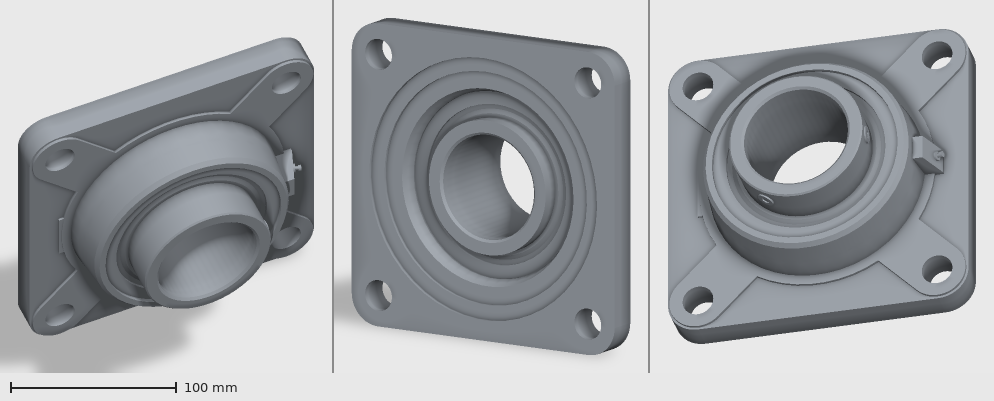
import cadquery as cq
import math

PLATE_SIDE = 187.0
PLATE_THICKNESS = 17.8
PLATE_CORNER_RADIUS = 18.7
BOLT_OFFSET = 74.5
BOLT_HOLE_RADIUS = 9.5

PAD_TOP_X = 19.6
PAD_LOBE_RADIUS = 17.8
PAD_DISC_RADIUS = 73.3

TAB_WIDTH = 31.8
TAB_TOP_X = 19.0
TAB_END_Y = -74.8

HUB_BASE_RADIUS = 67.3
HUB_SHOULDER_X = 47.3
HUB_SHOULDER_RADIUS = 64.0
HUB_END_X = 50.1
HUB_END_RADIUS = 61.7

OUTER_RECESS_RADIUS = 81.0
OUTER_RECESS_DEPTH = 2.8
INNER_RECESS_RADIUS = 72.0
INNER_RECESS_DEPTH = 5.2
SEAT_MOUTH_RADIUS = 61.0
SEAT_EDGE_RADIUS = 57.8
SEAT_LAND_LENGTH = 1.5
SEAT_SPHERE_RADIUS = 60.0
SEAT_CENTRE_X = 31.2
SEAT_EDGE_OFFSET = math.sqrt(SEAT_SPHERE_RADIUS**2 - SEAT_EDGE_RADIUS**2)

BOSS_WIDTH = 15.0
BOSS_BASE_Y = 78.2
BOSS_END_Y = 70.7
BOSS_END_X = 40.2
BOSS_ROOT_Y = 62.6
NIPPLE_X = 26.7
NIPPLE_BASE_RADIUS = 2.8
NIPPLE_BASE_HEIGHT = 1.3
NIPPLE_NECK_RADIUS = 1.1
NIPPLE_HEAD_RADIUS = 1.9
NIPPLE_HEAD_START = 3.2
NIPPLE_HEIGHT = 5.0

RING_START_X = 4.7
RING_END_X = 72.5
RING_RADIUS = 41.5
BORE_RADIUS = 32.4
BORE_CHAMFER = 1.5
RING_CHAMFER = 1.0
RACE_HALF_WIDTH = SEAT_EDGE_OFFSET
SEAL_RADIUS = 49.5
SEAL_HALF_WIDTH = 14.4
SEAL_LIP_BASE_RADIUS = 46.4
SEAL_LIP_TOP_RADIUS = 43.8
SEAL_LIP_HALF_WIDTH = 15.7

SCREW_X = 62.6
SCREW_RADIUS = 5.2
SCREW_TOP_RADIUS = 42.5
SCREW_LENGTH = 7.5
SCREW_ANGLES = (0, 240)
SOCKET_SIDES = 6
SOCKET_CORNER_DIAMETER = 5.2
SOCKET_DEPTH = 0.7


def revolve_about_x(profile):
    """Solid of revolution about the X axis from a closed (x, radius) profile."""
    return profile.close().revolve(360, (0, 0, 0), (1, 0, 0))


def disc(radius, start_x, end_x, y=0.0, z=0.0):
    """Cylinder along X between two X positions."""
    return cq.Workplane("YZ", origin=(start_x, y, z)).circle(radius).extrude(end_x - start_x)


def bolt_points():
    return [(y, z) for y in (-BOLT_OFFSET, BOLT_OFFSET) for z in (-BOLT_OFFSET, BOLT_OFFSET)]


def make_plate():
    plate = cq.Workplane("YZ").rect(PLATE_SIDE, PLATE_SIDE).extrude(PLATE_THICKNESS)
    return plate.edges("|X").fillet(PLATE_CORNER_RADIUS)


def make_pad():
    """Disc with two crossed diagonal straps that end in a round lobe at each bolt hole."""
    height = PAD_TOP_X - PLATE_THICKNESS
    pad = disc(PAD_DISC_RADIUS, PLATE_THICKNESS, PAD_TOP_X)
    strap_length = 2 * math.hypot(BOLT_OFFSET, BOLT_OFFSET) + 2 * PAD_LOBE_RADIUS
    for angle in (45, 135):
        strap = cq.Workplane("YZ", origin=(PLATE_THICKNESS, 0, 0))
        strap = strap.slot2D(strap_length, 2 * PAD_LOBE_RADIUS, angle).extrude(height)
        pad = pad.union(strap)
    return pad


def make_tab():
    length = -TAB_END_Y - HUB_BASE_RADIUS
    height = TAB_TOP_X - PLATE_THICKNESS
    tab = cq.Workplane("YZ", origin=(PLATE_THICKNESS, TAB_END_Y + length / 2, 0))
    return tab.rect(length, TAB_WIDTH).extrude(height)


def make_hub():
    profile = (
        cq.Workplane("XZ")
        .moveTo(PLATE_THICKNESS, 0)
        .lineTo(PLATE_THICKNESS, HUB_BASE_RADIUS)
        .lineTo(PAD_TOP_X, HUB_BASE_RADIUS)
        .lineTo(HUB_SHOULDER_X, HUB_SHOULDER_RADIUS)
        .lineTo(HUB_END_X, HUB_END_RADIUS)
        .lineTo(HUB_END_X, 0)
    )
    return revolve_about_x(profile)


def make_grease_boss():
    boss = (
        cq.Workplane("XY", origin=(0, 0, -BOSS_WIDTH / 2))
        .moveTo(PLATE_THICKNESS, BOSS_ROOT_Y)
        .lineTo(PLATE_THICKNESS, BOSS_BASE_Y)
        .lineTo(PAD_TOP_X, BOSS_BASE_Y)
        .lineTo(BOSS_END_X, BOSS_END_Y)
        .lineTo(BOSS_END_X, BOSS_ROOT_Y)
        .close()
        .extrude(BOSS_WIDTH)
    )
    return boss.union(make_nipple())


def make_nipple():
    """Grease nipple standing square on the sloped top of the boss."""
    run = BOSS_END_X - PAD_TOP_X
    drop = BOSS_BASE_Y - BOSS_END_Y
    foot_y = BOSS_BASE_Y - drop * (NIPPLE_X - PAD_TOP_X) / run
    slope_plane = cq.Plane(origin=(NIPPLE_X, foot_y, 0), xDir=(0, 0, 1), normal=(drop, run, 0))
    base = cq.Workplane(slope_plane).circle(NIPPLE_BASE_RADIUS).extrude(NIPPLE_BASE_HEIGHT)
    neck = cq.Workplane(slope_plane).circle(NIPPLE_NECK_RADIUS).extrude(NIPPLE_HEIGHT)
    head = (
        cq.Workplane(slope_plane)
        .workplane(offset=NIPPLE_HEAD_START)
        .circle(NIPPLE_HEAD_RADIUS)
        .extrude(NIPPLE_HEIGHT - NIPPLE_HEAD_START)
    )
    return base.union(neck).union(head)


def make_seat_cutter():
    """Stepped rear recess, conical mouth, short land, spherical seat and front opening."""
    seat_start_x = SEAT_CENTRE_X - SEAT_EDGE_OFFSET
    seat_end_x = SEAT_CENTRE_X + SEAT_EDGE_OFFSET
    profile = (
        cq.Workplane("XZ")
        .moveTo(0, 0)
        .lineTo(0, OUTER_RECESS_RADIUS)
        .lineTo(OUTER_RECESS_DEPTH, OUTER_RECESS_RADIUS)
        .lineTo(OUTER_RECESS_DEPTH, INNER_RECESS_RADIUS)
        .lineTo(INNER_RECESS_DEPTH, INNER_RECESS_RADIUS)
        .lineTo(INNER_RECESS_DEPTH, SEAT_MOUTH_RADIUS)
        .lineTo(seat_start_x - SEAT_LAND_LENGTH, SEAT_EDGE_RADIUS)
        .lineTo(seat_start_x, SEAT_EDGE_RADIUS)
        .threePointArc((SEAT_CENTRE_X, SEAT_SPHERE_RADIUS), (seat_end_x, SEAT_EDGE_RADIUS))
        .lineTo(HUB_END_X, SEAT_EDGE_RADIUS)
        .lineTo(HUB_END_X, 0)
    )
    return revolve_about_x(profile)


def make_housing():
    housing = make_plate()
    for feature in (make_pad(), make_tab(), make_hub(), make_grease_boss()):
        housing = housing.union(feature)
    for y, z in bolt_points():
        housing = housing.cut(disc(BOLT_HOLE_RADIUS, 0, PAD_TOP_X, y, z))
    return housing.cut(make_seat_cutter())


def make_rings():
    """Inner ring, seals and spherical outer ring of the bearing as one turned shape."""
    half_section = [
        (SEAL_LIP_HALF_WIDTH, BORE_RADIUS + BORE_CHAMFER),
        (SEAL_LIP_HALF_WIDTH, SEAL_LIP_TOP_RADIUS),
        (SEAL_HALF_WIDTH, SEAL_LIP_BASE_RADIUS),
        (SEAL_HALF_WIDTH, SEAL_RADIUS),
        (RACE_HALF_WIDTH, SEAL_RADIUS),
        (RACE_HALF_WIDTH, SEAT_EDGE_RADIUS),
    ]
    rear_points = [(SEAT_CENTRE_X - offset, radius) for offset, radius in half_section]
    front_points = [(SEAT_CENTRE_X + offset, radius) for offset, radius in reversed(half_section)]
    race = revolve_about_x(
        cq.Workplane("XZ")
        .polyline(rear_points)
        .threePointArc((SEAT_CENTRE_X, SEAT_SPHERE_RADIUS), front_points[0])
        .polyline(front_points)
    )

    inner_ring = disc(RING_RADIUS, RING_START_X, RING_END_X).faces(">X").chamfer(RING_CHAMFER)
    inner_ring = inner_ring.cut(disc(BORE_RADIUS, RING_START_X, RING_END_X))
    bore_edges = inner_ring.edges(cq.selectors.RadiusNthSelector(0))
    return bore_edges.chamfer(BORE_CHAMFER).union(race)


def screw_head_plane():
    """Plane on the head of a set screw pointing along +Y."""
    return cq.Workplane("XZ", origin=(SCREW_X, SCREW_TOP_RADIUS, 0))


def turn_about_x(shape, angle):
    return shape.rotate((0, 0, 0), (1, 0, 0), angle)


def make_set_screw(angle):
    return turn_about_x(screw_head_plane().circle(SCREW_RADIUS).extrude(SCREW_LENGTH), angle)


def make_screw_socket(angle):
    socket = screw_head_plane().polygon(SOCKET_SIDES, SOCKET_CORNER_DIAMETER).extrude(SOCKET_DEPTH)
    return turn_about_x(socket, angle)


def make_bearing():
    bearing = make_rings()
    for angle in SCREW_ANGLES:
        bearing = bearing.union(make_set_screw(angle)).cut(make_screw_socket(angle))
    return bearing


housing = make_housing()
bearing = make_bearing()
result = cq.Compound.makeCompound([housing.val(), bearing.val()])